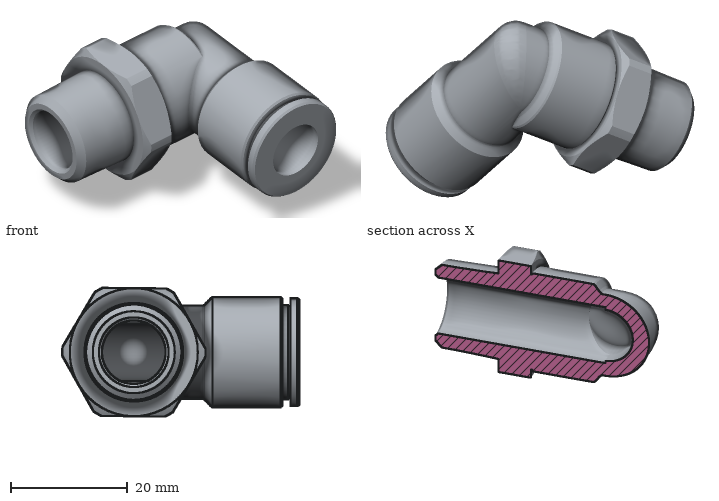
import cadquery as cq
import math

elbow_radius = 8.0

cone_start = 12.0
cone_root_fillet = 0.4
collar_start = 13.45
collar_end = 25.45
collar_radius = 9.47
collar_chamfer = 0.33
neck_radius = 8.15
neck_end = 26.42
groove_radius = 7.93
flange_start = 26.83
flange_end = 28.37
flange_radius = 9.25
flange_chamfer_length = 0.35
flange_chamfer_drop = 0.3

shoulder_top = 0.65
shoulder_foot = 1.05
shoulder_foot_radius = 8.37
shoulder_edge = 1.85
shoulder_edge_radius = 9.47
body_start = 2.2
body_radius = 9.67
body_end_chamfer = 0.33
junction_fillet = 0.4
nut_start = 13.55
nut_end = 19.5
nut_across_flats = 22.0
nut_corner_radius = 12.28
nut_face_radius = 10.98
nut_chamfer_depth = 0.75
nut_twist = 0.6
thread_start_radius = 8.45
thread_end_radius = 8.17
thread_end = 29.8
tip_radius = 7.05
stem_end = 31.0

stem_bore_radius = 5.45
stem_bore_chamfer = 0.53
tube_bore_radius = 4.95


def turned_about_x(profile):
    """Revolve (x, radius) points about the X axis."""
    points = [(profile[0][0], 0)] + profile + [(profile[-1][0], 0)]
    return cq.Workplane("XY").polyline(points).close().revolve(360, (0, 0), (1, 0))


def turned_about_y(profile):
    """Revolve (depth along -Y, radius) points about the Y axis."""
    points = [(radius, -depth) for depth, radius in profile]
    points = [(0, points[0][1])] + points + [(0, points[-1][1])]
    return cq.Workplane("XY").polyline(points).close().revolve(360, (0, 0), (0, 1))


def prism(points):
    """Tall prism used to trim the elbow pieces to their sectors."""
    return cq.Workplane("XY").polyline(points).close().extrude(2 * elbow_radius, both=True)


def elbow_corner():
    """Ellipsoid sector that meets both elbow cylinders tangentially.

    The in-plane ellipse touches y = R at x = -R/2 and x = -R at y = R/2, where R is the elbow radius.
    It satisfies 4/3 (x^2 + y^2 + x y) = R^2, with semi-axes R sqrt(3/2) and R / sqrt(2) on the diagonals.
    """
    long_factor = math.sqrt(1.5)
    short_factor = math.sqrt(0.5)
    stretch = cq.Matrix([[long_factor, 0, 0, 0], [0, short_factor, 0, 0], [0, 0, 1, 0]])
    ball = cq.Workplane("XY").sphere(elbow_radius).val().transformGeometry(stretch)
    ellipsoid = cq.Workplane("XY").add(ball.rotate((0, 0, 0), (0, 0, 1), 135))
    reach = 2 * elbow_radius
    return ellipsoid.intersect(prism([(0, 0), (-reach / 2, reach), (-reach, reach), (-reach, reach / 2)]))


def tube_side():
    """Tube arm of the elbow with its conical shoulder, collar, neck and release flange."""
    r = elbow_radius
    arm = turned_about_x([
        (-r, r),
        (cone_start, r),
        (collar_start, collar_radius),
        (collar_end - collar_chamfer, collar_radius),
        (collar_end, collar_radius - collar_chamfer),
        (collar_end, neck_radius),
        (neck_end, neck_radius),
        (neck_end, groove_radius),
        (flange_start, groove_radius),
        (flange_start, flange_radius),
        (flange_end - flange_chamfer_length, flange_radius),
        (flange_end, flange_radius - flange_chamfer_drop),
    ])
    root = cq.selectors.BoxSelector((cone_start - 0.05, -2 * r, -2 * r), (cone_start + 0.05, 2 * r, 2 * r))
    arm = arm.edges(root).fillet(cone_root_fillet)
    width = 2 * r
    sector = prism([(0, 0), (-width / 2, width), (flange_end, width), (flange_end, -width), (0, -width)])
    return arm.intersect(sector)


def stem_elbow():
    """Stem arm of the elbow, up to the corner sector."""
    r = elbow_radius
    arm = turned_about_y([(-r, r), (body_start, r)])
    return arm.intersect(prism([(0, 0), (-2 * r, r), (-2 * r, -2 * r), (2 * r, -2 * r), (2 * r, -r)]))


def stem_body():
    """Shouldered body, chamfered at the nut, and tapered thread with a chamfered tip."""
    return turned_about_y([
        (shoulder_top, elbow_radius),
        (shoulder_foot, shoulder_foot_radius),
        (shoulder_edge, shoulder_edge_radius),
        (body_start, body_radius),
        (nut_start - body_end_chamfer, body_radius),
        (nut_start, body_radius - body_end_chamfer),
        (nut_end, thread_start_radius),
        (thread_end, thread_end_radius),
        (stem_end, tip_radius),
    ])


def nut():
    """Hexagon with rounded-off corners, chamfered on both faces."""
    hexagon = (
        cq.Workplane("XZ", origin=(0, -nut_start, 0))
        .polygon(6, nut_across_flats / math.cos(math.pi / 6))
        .extrude(nut_end - nut_start)
        .rotate((0, 0, 0), (0, 1, 0), nut_twist)
    )
    envelope = turned_about_y([
        (nut_start, nut_face_radius),
        (nut_start + nut_chamfer_depth, nut_corner_radius),
        (nut_end - nut_chamfer_depth, nut_corner_radius),
        (nut_end, nut_face_radius),
    ])
    return hexagon.intersect(envelope)


def bores():
    """Stem bore up to the tube axis, and tube bore reaching the far wall of the stem bore."""
    stem_bore = turned_about_y([
        (0, stem_bore_radius),
        (stem_end - stem_bore_chamfer, stem_bore_radius),
        (stem_end, stem_bore_radius + stem_bore_chamfer),
    ])
    tube_bore = turned_about_x([(-stem_bore_radius, tube_bore_radius), (flange_end, tube_bore_radius)])
    return stem_bore.union(tube_bore)


def joined_elbow():
    """Elbow and body, with the concave seam between the body wall and the tube arm filleted."""
    elbow = elbow_corner().union(tube_side()).union(stem_elbow()).union(stem_body())
    seam = cq.selectors.BoxSelector(
        (0, -elbow_radius, -elbow_radius), (body_radius, -body_start, elbow_radius)
    )
    return elbow.edges(seam).edges("%BSPLINE").fillet(junction_fillet)


result = joined_elbow().union(nut()).cut(bores())